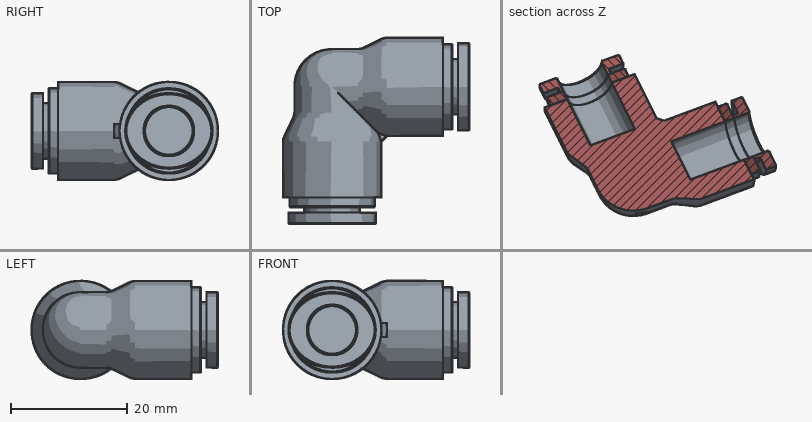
import cadquery as cq

elbow_radius = 6.5
socket_radius = 16.9 / 2
cone_start = 4.95
cone_end = 8.95
cone_fillet = 2.0
socket_end = 19.0

collar_radius = 14.7 / 2
collar_length = 1.7
collar_end = socket_end + collar_length

neck_radius = 9.6 / 2
neck_length = 0.9
flange_start = collar_end + neck_length
flange_thickness = 2.0
sleeve_end = flange_start + flange_thickness
flange_width = 15.0
flange_height = 13.0

tube_radius = 8.2 / 2
bore_floor = cone_end
edge_chamfer = 0.2
mouth_chamfer = 0.25

web_thickness = 2.4
web_reach = 9.42
web_root = elbow_radius / 2


def cylinder(start, end, radius):
    """Cylinder on the X axis between two stations."""
    return cq.Workplane("YZ").workplane(offset=start).circle(radius).extrude(end - start)


def to_front_arm(body):
    """Turn a body from the +X arm onto the -Y arm."""
    return body.rotate((0, 0, 0), (0, 0, 1), -90)


def make_arm():
    """Solid arm: elbow tube that widens through a blended cone into the socket."""
    profile = (
        cq.Workplane("XY")
        .moveTo(0, 0)
        .lineTo(0, elbow_radius)
        .lineTo(cone_start, elbow_radius)
        .lineTo(cone_end, socket_radius)
        .lineTo(socket_end, socket_radius)
        .lineTo(socket_end, 0)
        .close()
    )
    margin = 0.1
    arm = profile.revolve(360, (0, 0, 0), (1, 0, 0))
    for station, radius in ((cone_start, elbow_radius), (cone_end, socket_radius)):
        low = (station - margin, -radius - margin, -radius - margin)
        high = (station + margin, radius + margin, radius + margin)
        arm = arm.edges(cq.selectors.BoxSelector(low, high, boundingbox=True)).fillet(cone_fillet)
    return arm


def make_web():
    """Thin web that fills the inner corner between the two sockets."""
    return (
        cq.Workplane("XY")
        .workplane(offset=-web_thickness / 2)
        .moveTo(web_root, -web_root)
        .lineTo(web_reach, -socket_radius)
        .lineTo(socket_radius, -web_reach)
        .close()
        .extrude(web_thickness)
    )


def make_housing():
    """Elbow housing with a blind tube bore in each socket."""
    arm = make_arm()
    bore = cylinder(bore_floor, socket_end, tube_radius)
    corner = cq.Workplane("XY").sphere(elbow_radius)
    housing = arm.union(to_front_arm(arm)).union(corner).union(make_web())
    return housing.cut(bore).cut(to_front_arm(bore))


def make_collar():
    """Ring seated on the end face of a socket."""
    ring = cylinder(socket_end, collar_end, collar_radius).faces(">X").chamfer(edge_chamfer)
    return ring.cut(cylinder(socket_end, collar_end, tube_radius))


def make_sleeve():
    """Release sleeve: round neck with an oval flange, wider in the plane of the elbow."""
    flange = (
        cq.Workplane("YZ")
        .workplane(offset=flange_start)
        .ellipse(flange_width / 2, flange_height / 2)
        .extrude(flange_thickness)
        .faces(">X")
        .chamfer(edge_chamfer)
    )
    sleeve = cylinder(collar_end, flange_start, neck_radius).union(flange)
    sleeve = sleeve.cut(cylinder(collar_end, sleeve_end, tube_radius))
    return sleeve.faces(">X").edges("%CIRCLE").chamfer(mouth_chamfer)


housing = make_housing()
bodies = [housing.val()]
for make_body in (make_collar, make_sleeve):
    body = make_body()
    bodies.append(body.val())
    bodies.append(to_front_arm(body).val())

result = cq.Compound.makeCompound(bodies)